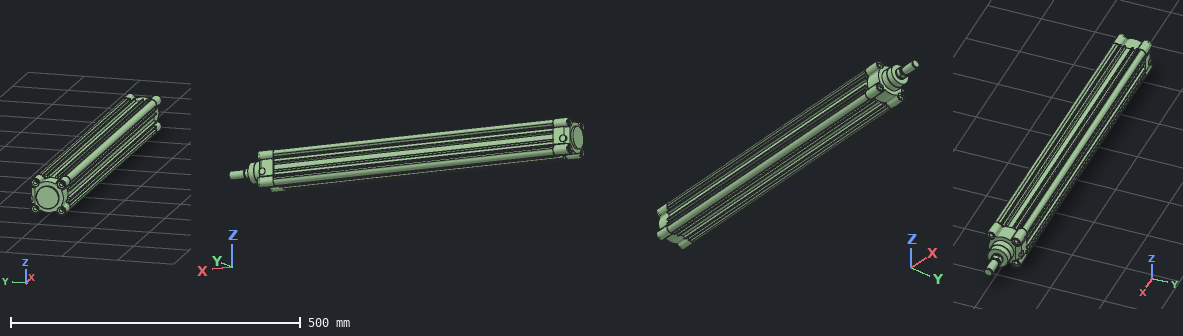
import cadquery as cq
import math


collar_length = 4.0
rear_cap_length = 29.0
tube_length = 546.0
front_cap_length = 31.0
boss_length = 25.0
boss_shoulder_length = 13.0
wiper_lip_length = 2.5
rod_extension = 12.0
thread_length = 32.0

tube_start = collar_length + rear_cap_length
tube_end = tube_start + tube_length
front_face = tube_end + front_cap_length
boss_end = front_face + boss_length
rod_start = boss_end + wiper_lip_length
thread_start = boss_end + rod_extension
rod_tip = thread_start + thread_length

cap_width = 64.5
bolt_offset = 46.5 / 2
lobe_radius = cap_width / 2 - bolt_offset
core_radius = 27.7
lobe_blend_radius = 1.5
boss_radius = 20.0
boss_nose_radius = 19.0

counterbore_radius = 6.8
counterbore_depth = 3.0
bolt_hole_radius = 3.4
bolt_hole_depth = 16.0
drill_tip_angle = 118.0

pad_half_height = bolt_offset - lobe_radius + 0.5
pad_foot_y = 23.5
pad_top_y = 31.5
pad_slope_angle = 48.0
port_boss_radius = 6.0
port_boss_z = -6.0
port_boss_foot_y = 27.6
port_boss_top_y = 32.0

tube_width = 63.2
tube_half = tube_width / 2
tube_corner_radius = tube_half - bolt_offset
slot_floor_height = 27.4
channel_cut_height = 25.0
fin_root = 4.6
fin_inner = 6.4
fin_outer = 8.9
slot_outer = 14.6
ridge_outer = 17.0
groove_foot = 18.4
groove_depth = 3.5

rod_radius = 10.0
flat_width = 17.0
flat_length = 8.0
neck_chamfer = 1.0
thread_radius = 8.0
thread_relief_radius = 7.3
thread_relief_length = 2.0
tip_chamfer_length = 2.0
tip_chamfer_depth = 1.0

side_signs = (-1, 1)
bolt_positions = [(sy * bolt_offset, sz * bolt_offset) for sy in side_signs for sz in side_signs]


def disc(x, radius, length, y=0.0, z=0.0):
    """Round bar along X, starting at x."""
    return cq.Workplane("YZ", origin=(x, y, z)).circle(radius).extrude(length)


def revolve_about_x(outline):
    """Turned solid from an (x, radius) outline."""
    return cq.Workplane("XY").polyline(outline).close().revolve(360, (0, 0, 0), (1, 0, 0))



def bolt_hole_cutter():
    """Counterbored blind hole along X, opening at X = 0."""
    tip_length = bolt_hole_radius / math.tan(math.radians(drill_tip_angle / 2))
    return revolve_about_x([
        (0, 0),
        (0, counterbore_radius),
        (counterbore_depth, counterbore_radius),
        (counterbore_depth, bolt_hole_radius),
        (bolt_hole_depth, bolt_hole_radius),
        (bolt_hole_depth + tip_length, 0),
    ])


def port_pad(length):
    """Pad whose end slopes up from the free face, with the round port boss standing out of the slope."""
    slope_tangent = math.tan(math.radians(pad_slope_angle))
    slope_end = (pad_top_y - pad_foot_y) / slope_tangent
    pad = (
        cq.Workplane("XY", origin=(0, 0, -pad_half_height))
        .polyline([(0, 0), (0, pad_foot_y), (slope_end, pad_top_y), (length, pad_top_y), (length, 0)])
        .close()
        .extrude(2 * pad_half_height)
    )
    boss_x = (port_boss_foot_y - pad_foot_y) / slope_tangent + port_boss_radius
    boss = (
        cq.Workplane("XZ", origin=(boss_x, 0, port_boss_z))
        .circle(port_boss_radius)
        .extrude(-port_boss_top_y)
    )
    return pad.union(boss)


def cap_block(length):
    """Cap with its free face at X = 0."""
    block = disc(0, core_radius, length)
    for y, z in bolt_positions:
        block = block.union(disc(0, lobe_radius, length, y, z))

    inside_corners = cq.selectors.BoxSelector(
        (0, -core_radius, -core_radius), (length, core_radius, core_radius)
    )
    block = block.edges("|X").edges(inside_corners).fillet(lobe_blend_radius)

    trim = (
        cq.Workplane("XY", origin=(0, pad_foot_y, 0))
        .box(length, cap_width / 2, 2 * pad_half_height, centered=(False, False, True))
    )
    block = block.cut(trim).union(port_pad(length))

    for y, z in bolt_positions:
        block = block.cut(bolt_hole_cutter().translate((0, y, z)))
    return block


def make_rear_cap():
    collar = disc(0, boss_radius, collar_length)
    return cap_block(rear_cap_length).translate((collar_length, 0, 0)).union(collar)


def make_front_cap():
    cap = cap_block(front_cap_length).mirror("YZ").translate((front_face, 0, 0))
    cap = cap.union(disc(front_face, boss_radius, boss_shoulder_length))
    cap = cap.union(disc(front_face, boss_nose_radius, boss_length))
    return cap.union(disc(boss_end, rod_radius, wiper_lip_length))



def mirrored(outline):
    return [(-across, height) for across, height in outline]


def make_tube():
    """Slotted extrusion: on each side a middle channel between two fins, two slots and two grooves."""
    slot = [
        (fin_outer, slot_floor_height),
        (slot_outer, slot_floor_height),
        (slot_outer, tube_half),
        (fin_outer, tube_half),
    ]
    groove = [
        (ridge_outer, tube_half),
        (ridge_outer, tube_half - groove_depth),
        (groove_foot, tube_half - groove_depth),
        (groove_foot + groove_depth, tube_half),
    ]
    channel = [
        (-fin_root, channel_cut_height),
        (-fin_root, slot_floor_height),
        (-fin_inner, tube_half),
        (fin_inner, tube_half),
        (fin_root, slot_floor_height),
        (fin_root, channel_cut_height),
    ]

    body = (
        cq.Workplane("YZ", origin=(tube_start, 0, 0))
        .rect(tube_width, tube_width)
        .extrude(tube_length)
        .edges("|X")
        .fillet(tube_corner_radius)
    )
    for outline in (slot, mirrored(slot), groove, mirrored(groove), channel):
        cutter = cq.Workplane("YZ", origin=(tube_start, 0, 0)).polyline(outline).close().extrude(tube_length)
        for angle in (0, 90, 180, 270):
            body = body.cut(cutter.rotate((0, 0, 0), (1, 0, 0), angle))

    return body.union(disc(tube_start, core_radius, tube_length))



def make_rod():
    """Turned rod end with two wrench flats, a thread relief and a plain threaded tip."""
    relief_end = thread_start + thread_relief_length
    rod = revolve_about_x([
        (rod_start, 0),
        (rod_start, rod_radius),
        (thread_start - neck_chamfer, rod_radius),
        (thread_start, rod_radius - neck_chamfer),
        (thread_start, thread_relief_radius),
        (relief_end, thread_relief_radius),
        (relief_end, thread_radius),
        (rod_tip - tip_chamfer_length, thread_radius),
        (rod_tip, thread_radius - tip_chamfer_depth),
        (rod_tip, 0),
    ])
    for side in side_signs:
        flat_cutter = (
            cq.Workplane("XY", origin=(thread_start - flat_length, 0, side * flat_width))
            .box(flat_length, 2 * rod_radius, flat_width, centered=(False, True, True))
        )
        rod = rod.cut(flat_cutter)
    return rod


rear_cap = make_rear_cap()
tube = make_tube()
front_cap = make_front_cap()
rod = make_rod()

bodies = (rear_cap, tube, front_cap, rod)
result = cq.Compound.makeCompound([body.solids().val() for body in bodies])